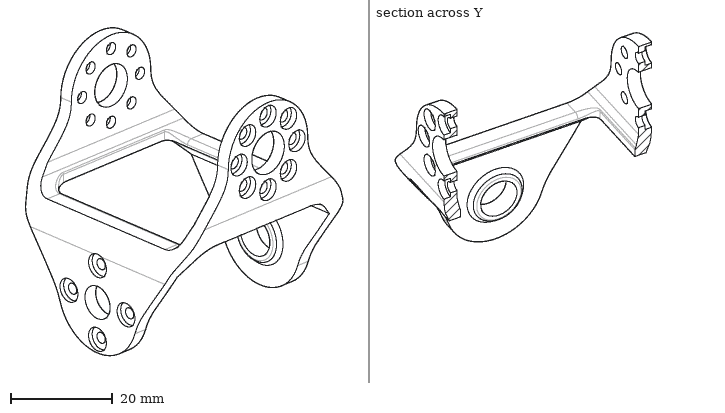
import cadquery as cq
import math

WIDTH_X = 47.0
WIDTH_Y = 48.0
WALL = 3.0
HALF_X = WIDTH_X / 2
HALF_Y = WIDTH_Y / 2
INNER_X = HALF_X - WALL
INNER_Y = HALF_Y - WALL
CUT_MARGIN = 1.0
SELECT_TOLERANCE = 0.1

LOBE_RADIUS = 11.0
LOBE_Z = 16.23
END_Z = LOBE_Z + LOBE_RADIUS
LOBE_MID_ANGLE = math.radians(40)
BOLT_CIRCLE_RADIUS = 8.0

PLATE_LOBE_END_DROP = 3.3
PLATE_NECK = (12.72, -14.95)
PLATE_TAPER_TOP = (18.9, -6.0)
PLATE_SHOULDER = (22.25, 0.0)
PLATE_SHOULDER_END_Z = 5.3

ARM_NECK = (13.24, 10.27)
ARM_TAPER_BOTTOM = (18.75, 3.9)
ARM_SHOULDER = (22.75, -1.7)
ARM_SHOULDER_END_Z = -6.0

FLOOR_HALF_LENGTH = 16.5
FLOOR_FILLET_END = (20.0, 2.9)

ARCH_FLAT_HALF = 12.8
ARCH_ROUND_END = (17.9, -2.12)
ARCH_SLOPE_END_Z = ARCH_ROUND_END[1] - (INNER_Y - ARCH_ROUND_END[0])

OPENING_X = 39.4
OPENING_Y = 34.4
OPENING_CORNER_RADIUS = OPENING_X / 2 - FLOOR_HALF_LENGTH
OPENING_EDGE_FILLET = 1.0

ARM_BORE = 9.0
ARM_SCREW = 2.5
ARM_COUNTERBORE = 4.5
ARM_COUNTERBORE_DEPTH = 1.5
ARM_SCREW_COUNT = 8

PLATE_BORE = 7.0
PLATE_SCREW = 2.3
PLATE_COUNTERBORE = 5.0
PLATE_COUNTERBORE_DEPTH = 1.0
PLATE_SCREW_COUNT = 4

HUB_BORE = 8.2
HUB_RIM_RADIUS = 5.5
HUB_CONE_HEIGHT = 0.9
HUB_LIP_RADIUS = 0.5
HUB_HEIGHT = HUB_CONE_HEIGHT + HUB_LIP_RADIUS


def plate_silhouette():
    """Outline across X: tapered lower plates below, full-width arms above."""
    lobe_end_x = math.sqrt(LOBE_RADIUS**2 - PLATE_LOBE_END_DROP**2)
    lobe_end_z = -LOBE_Z - PLATE_LOBE_END_DROP
    half = (
        cq.Workplane("XZ", origin=(0, HALF_Y, 0))
        .moveTo(0, -END_Z)
        .threePointArc(
            (LOBE_RADIUS * math.sin(LOBE_MID_ANGLE), -LOBE_Z - LOBE_RADIUS * math.cos(LOBE_MID_ANGLE)),
            (lobe_end_x, lobe_end_z),
        )
        .spline(
            [PLATE_NECK, PLATE_TAPER_TOP, PLATE_SHOULDER, (HALF_X, PLATE_SHOULDER_END_Z)],
            tangents=[(PLATE_LOBE_END_DROP, lobe_end_x), (0, 1)],
            includeCurrent=True,
        )
        .lineTo(HALF_X, END_Z)
        .lineTo(0, END_Z)
        .close()
        .extrude(WIDTH_Y)
    )
    return half.union(half.mirror("YZ")).clean()


def arm_silhouette():
    """Outline across Y: tapered upper arms above, full-width plates below."""
    half = (
        cq.Workplane("YZ", origin=(-HALF_X, 0, 0))
        .moveTo(0, END_Z)
        .threePointArc(
            (LOBE_RADIUS * math.sin(LOBE_MID_ANGLE), LOBE_Z + LOBE_RADIUS * math.cos(LOBE_MID_ANGLE)),
            (LOBE_RADIUS, LOBE_Z),
        )
        .spline(
            [ARM_NECK, ARM_TAPER_BOTTOM, ARM_SHOULDER, (HALF_Y, ARM_SHOULDER_END_Z)],
            tangents=[(0, -1), (0, -1)],
            includeCurrent=True,
        )
        .lineTo(HALF_Y, -END_Z)
        .lineTo(0, -END_Z)
        .close()
        .extrude(WIDTH_X)
    )
    return half.union(half.mirror("XZ")).clean()


def arm_gap():
    """Round-bottomed space between the two arms, open at the top."""
    top = END_Z + CUT_MARGIN
    half = (
        cq.Workplane("XZ")
        .lineTo(FLOOR_HALF_LENGTH, 0)
        .tangentArcPoint(FLOOR_FILLET_END, relative=False)
        .tangentArcPoint((INNER_X, PLATE_SHOULDER_END_Z), relative=False)
        .lineTo(INNER_X, top)
        .lineTo(0, top)
        .close()
        .extrude(HALF_Y + CUT_MARGIN, both=True)
    )
    return half.union(half.mirror("YZ")).clean()


def plate_gap():
    """Arched space between the two plates, open at the bottom."""
    bottom = -END_Z - CUT_MARGIN
    half = (
        cq.Workplane("YZ")
        .lineTo(ARCH_FLAT_HALF, 0)
        .tangentArcPoint(ARCH_ROUND_END, relative=False)
        .lineTo(INNER_Y, ARCH_SLOPE_END_Z)
        .lineTo(INNER_Y, bottom)
        .lineTo(0, bottom)
        .close()
        .extrude(HALF_X + CUT_MARGIN, both=True)
    )
    return half.union(half.mirror("XZ")).clean()


def opening():
    """Rounded rectangular opening joining the two gaps."""
    return (
        cq.Workplane("XY")
        .rect(OPENING_X, OPENING_Y)
        .extrude(PLATE_SHOULDER_END_Z, both=True)
        .edges("|Z")
        .fillet(OPENING_CORNER_RADIUS)
    )


def cylinder(start, direction, diameter, length):
    return cq.Workplane(cq.Solid.makeCylinder(diameter / 2, length, cq.Vector(*start), cq.Vector(*direction)))


def bolt_circle(count):
    """Offsets of evenly spaced screws from the centre of a lobe."""
    angles = [2 * math.pi * i / count for i in range(count)]
    return [(BOLT_CIRCLE_RADIUS * math.cos(a), BOLT_CIRCLE_RADIUS * math.sin(a)) for a in angles]


def arm_holes(side):
    """Bore and counterbored screw holes of the arm on one side (-1 or +1) in X."""
    outer = side * HALF_X
    inward = (-side, 0, 0)
    holes = cylinder((outer, 0, LOBE_Z), inward, ARM_BORE, WALL)
    for dy, dz in bolt_circle(ARM_SCREW_COUNT):
        start = (outer, dy, LOBE_Z + dz)
        holes = holes.union(cylinder(start, inward, ARM_SCREW, WALL))
        holes = holes.union(cylinder(start, inward, ARM_COUNTERBORE, ARM_COUNTERBORE_DEPTH))
    return holes


def front_plate_holes():
    """Bore and counterbored screw holes of the -Y plate."""
    inward = (0, 1, 0)
    holes = cylinder((0, -HALF_Y, -LOBE_Z), inward, PLATE_BORE, WALL)
    for dx, dz in bolt_circle(PLATE_SCREW_COUNT):
        start = (dx, -HALF_Y, -LOBE_Z + dz)
        holes = holes.union(cylinder(start, inward, PLATE_SCREW, WALL))
        holes = holes.union(cylinder(start, inward, PLATE_COUNTERBORE, PLATE_COUNTERBORE_DEPTH))
    return holes


def hub():
    """Conical hub with a rounded lip, rooted in the +Y plate and pointing inwards."""
    base_radius = HUB_RIM_RADIUS + HUB_CONE_HEIGHT
    rim_y = INNER_Y - HUB_CONE_HEIGHT
    tip_y = INNER_Y - HUB_HEIGHT
    return (
        cq.Workplane("XY", origin=(0, 0, -LOBE_Z))
        .moveTo(0, HALF_Y)
        .lineTo(base_radius, HALF_Y)
        .lineTo(base_radius, INNER_Y)
        .lineTo(HUB_RIM_RADIUS, rim_y)
        .radiusArc((HUB_RIM_RADIUS - HUB_LIP_RADIUS, tip_y), HUB_LIP_RADIUS)
        .lineTo(0, tip_y)
        .close()
        .revolve(360, (0, 0, 0), (0, 1, 0))
    )


def centre_box(x, y, z):
    """Selector for the edge whose centre lies at the given point."""
    low = (x - SELECT_TOLERANCE, y - SELECT_TOLERANCE, z - SELECT_TOLERANCE)
    high = (x + SELECT_TOLERANCE, y + SELECT_TOLERANCE, z + SELECT_TOLERANCE)
    return cq.selectors.BoxSelector(low, high)


def frame():
    """Two crossed forks with the rounded opening between them."""
    body = plate_silhouette().intersect(arm_silhouette())
    body = body.cut(arm_gap()).cut(plate_gap()).cut(opening())
    front_rim, back_rim = [centre_box(0, side * OPENING_Y / 2, 0) for side in (-1, 1)]
    body = body.edges(front_rim + back_rim).fillet(OPENING_EDGE_FILLET)
    return body


result = frame().union(hub())
result = result.cut(cylinder((0, HALF_Y, -LOBE_Z), (0, -1, 0), HUB_BORE, WALL + HUB_HEIGHT))
result = result.cut(front_plate_holes())
for arm_side in (-1, 1):
    result = result.cut(arm_holes(arm_side))